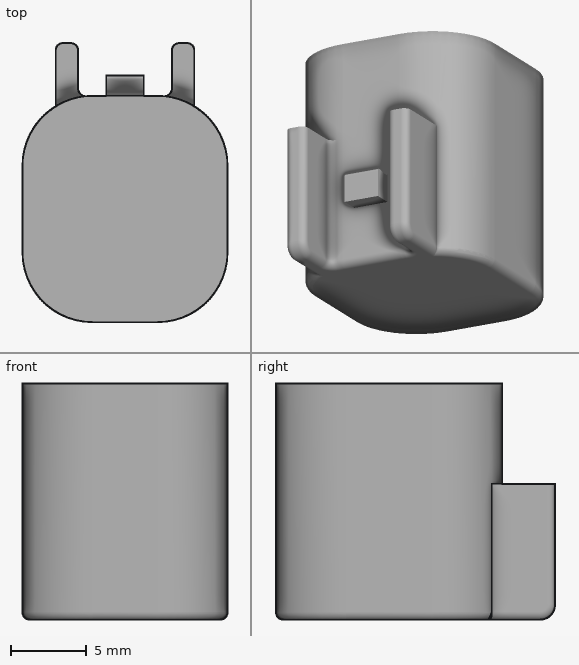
import cadquery as cq
import math

BODY_WIDTH = 13.6
BODY_DEPTH = 15.0
BODY_HEIGHT = 15.65
CORNER_RADIUS = 4.65
EDGE_RADIUS = 0.5
BACK_Y = BODY_DEPTH / 2

FIN_THICKNESS = 1.5
FIN_OUTER_X = 4.6
FIN_REACH = 3.5
FIN_HEIGHT = 9.0
FIN_CORNER_RADIUS = 1.0
FIN_CENTER_X = FIN_OUTER_X - FIN_THICKNESS / 2
FIN_INNER_X = FIN_OUTER_X - FIN_THICKNESS
FIN_TIP_Y = BACK_Y + FIN_REACH

CATCH_WIDTH = 2.5
CATCH_REACH = 1.35
CATCH_BOTTOM_Z = 4.0
CATCH_LIP_Z = 6.0
CATCH_SLOPE = math.radians(8.5)
CATCH_ROUND = 0.2
CATCH_ROOT_Z = CATCH_LIP_Z - CATCH_REACH * math.tan(CATCH_SLOPE)
CATCH_TIP_Y = BACK_Y + CATCH_REACH

SELECT_MARGIN = 0.1


def make_body():
    block = cq.Workplane("XY").box(BODY_WIDTH, BODY_DEPTH, BODY_HEIGHT, centered=(True, True, False))
    return block.edges("|Z").fillet(CORNER_RADIUS)


def make_fin(side):
    """Plate reaching from the body centre plane to the tip, rounded at its lower outer corner."""
    plate = (
        cq.Workplane("XY")
        .box(FIN_THICKNESS, FIN_TIP_Y, FIN_HEIGHT, centered=(True, False, False))
        .translate((side * FIN_CENTER_X, 0, 0))
    )
    return plate.edges(">Y and <Z").fillet(FIN_CORNER_RADIUS)


def round_edges(solid):
    """Round the inner fin roots, then the bottom rim, which runs on up the fin tips."""
    root_box = cq.selectors.BoxSelector(
        (-FIN_INNER_X - SELECT_MARGIN, BACK_Y - CORNER_RADIUS / 2, -SELECT_MARGIN),
        (FIN_INNER_X + SELECT_MARGIN, BACK_Y + SELECT_MARGIN, FIN_HEIGHT),
    )
    solid = solid.edges("|Z").edges(root_box).fillet(EDGE_RADIUS)
    return solid.faces("<Z").edges().fillet(EDGE_RADIUS)


def add_catch(solid):
    """Join the catch to the back face and round the lip and root of its sloped top."""
    profile = [
        (0, CATCH_BOTTOM_Z),
        (CATCH_TIP_Y, CATCH_BOTTOM_Z),
        (CATCH_TIP_Y, CATCH_LIP_Z),
        (BACK_Y, CATCH_ROOT_Z),
        (0, CATCH_ROOT_Z),
    ]
    catch = cq.Workplane("YZ").polyline(profile).close().extrude(CATCH_WIDTH / 2, both=True)
    top_box = cq.selectors.BoxSelector(
        (-CATCH_WIDTH / 2, BACK_Y - SELECT_MARGIN, CATCH_ROOT_Z - SELECT_MARGIN),
        (CATCH_WIDTH / 2, CATCH_TIP_Y + SELECT_MARGIN, CATCH_LIP_Z + SELECT_MARGIN),
    )
    return solid.union(catch).edges("|X").edges(top_box).fillet(CATCH_ROUND)


blank = make_body()
for side in (-1, 1):
    blank = blank.union(make_fin(side))
result = add_catch(round_edges(blank))